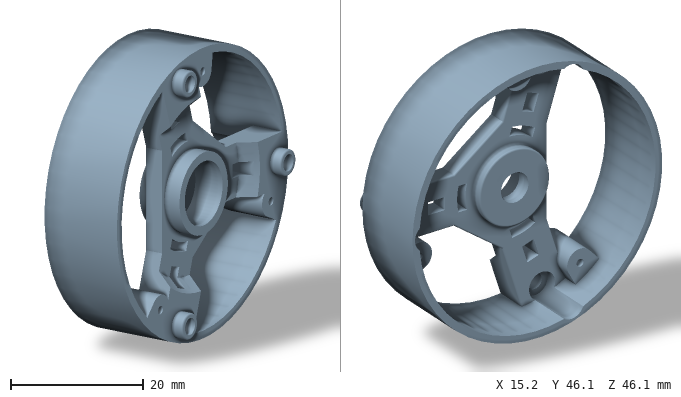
import cadquery as cq
import math

RING_RADIUS = 23.05
RING_INNER_RADIUS = 21.8
RING_MID_RADIUS = (RING_RADIUS + RING_INNER_RADIUS) / 2
RING_LENGTH = 13.28
OVERALL_LENGTH = 15.2

ARM_ANGLES = (0, 108, -108)
ARM_FRONT = 7.7
ARM_HALF_WIDTH = 4.35
ARM_ROOT = 9.95
ARM_EDGE_FILLET = 0.28
PLATE_BACK = 10.75
RAMP_START = 13.4
RAMP_END = 15.4

WINDOW_INNER = 11.7
WINDOW_OUTER = 14.8
WINDOW_WIDTH = 2.2
ARC_SLOT_INNER_RADIUS = 7.95
ARC_SLOT_OUTER_RADIUS = 9.45
ARC_SLOT_WIDTH = 4.45

SCREW_CIRCLE_RADIUS = 20.2
SCREW_HOLE_RADIUS = 1.35
SEAT_RADIUS = 2.4
SEAT_FLOOR = 9.7
BOSS_RADIUS = 2.07
BOSS_TIP_FILLET = 0.28

LUG_OFFSET_ANGLE = -18
LUG_CIRCLE_RADIUS = 19.3
LUG_RADIUS = 2.4
LUG_HOLE_RADIUS = 0.65
LUG_FRONT = 5.0

HUB_FRONT = 6.0
HUB_FRONT_RADIUS = 6.45
HUB_RIM_FILLET = 0.28
HUB_FOOT_FILLET = 0.3
HUB_BACK = 13.45
HUB_BACK_RADIUS = 6.5
BORE_RADIUS = 2.55
BORE_STEP = 8.5
CUP_RADIUS = 5.05


def plane_at(x):
    """Workplane across the axis at the given X, with local axes along Y and Z."""
    return cq.Workplane("YZ", origin=(x, 0, 0))


def disc(radius, start, end, distance=0.0):
    """Cylinder along X, its centre offset along Y."""
    return plane_at(start).center(distance, 0).circle(radius).extrude(end - start)


def turned(shape, angle):
    return shape.rotate((0, 0, 0), (1, 0, 0), angle)


def polar_turn(point, angle):
    y, z = point
    a = math.radians(angle)
    return (y * math.cos(a) - z * math.sin(a), y * math.sin(a) + z * math.cos(a))


def spider():
    """Central plate with three arms, rounded along its front edge and trimmed to the ring."""
    arm_outline = [
        (ARM_ROOT, -ARM_HALF_WIDTH),
        (RING_RADIUS, -ARM_HALF_WIDTH),
        (RING_RADIUS, ARM_HALF_WIDTH),
        (ARM_ROOT, ARM_HALF_WIDTH),
    ]
    outline = [polar_turn(p, angle) for angle in ARM_ANGLES for p in arm_outline]
    body = plane_at(ARM_FRONT).polyline(outline).close().extrude(RING_LENGTH - ARM_FRONT)
    body = body.faces("<X").edges().fillet(ARM_EDGE_FILLET)
    body = body.cut(rear_relief())
    return body.intersect(disc(RING_MID_RADIUS, 0, RING_LENGTH))


def rear_relief():
    """Space behind the plate and the thin part of the arms, with a conical outer wall."""
    return (
        cq.Workplane("XY")
        .moveTo(PLATE_BACK, 0)
        .lineTo(PLATE_BACK, RAMP_START)
        .lineTo(RING_LENGTH, RAMP_END)
        .lineTo(RING_LENGTH, 0)
        .close()
        .revolve(360, (0, 0, 0), (1, 0, 0))
    )


def ring():
    return disc(RING_RADIUS, 0, RING_LENGTH).cut(disc(RING_INNER_RADIUS, 0, RING_LENGTH))


def lug():
    """Rounded lug whose flanks run along radial lines tangent to its round end."""
    half_angle = math.asin(LUG_RADIUS / LUG_CIRCLE_RADIUS)
    tangent_length = LUG_CIRCLE_RADIUS * math.cos(half_angle)

    def flank_point(distance, side):
        return (distance * math.cos(half_angle), side * distance * math.sin(half_angle))

    return (
        plane_at(LUG_FRONT)
        .moveTo(*flank_point(RING_MID_RADIUS, -1))
        .lineTo(*flank_point(tangent_length, -1))
        .threePointArc((LUG_CIRCLE_RADIUS - LUG_RADIUS, 0), flank_point(tangent_length, 1))
        .lineTo(*flank_point(RING_MID_RADIUS, 1))
        .threePointArc((RING_MID_RADIUS, 0), flank_point(RING_MID_RADIUS, -1))
        .close()
        .extrude(RING_LENGTH - LUG_FRONT)
    )


def boss():
    body = disc(BOSS_RADIUS, SEAT_FLOOR, OVERALL_LENGTH, SCREW_CIRCLE_RADIUS)
    return body.faces(">X").edges().fillet(BOSS_TIP_FILLET)


def arm_openings():
    """Window and curved slot of one arm, running right through it."""
    depth = OVERALL_LENGTH - ARM_FRONT
    window_length = WINDOW_OUTER - WINDOW_INNER
    window = (
        plane_at(ARM_FRONT)
        .center(WINDOW_INNER + window_length / 2, 0)
        .rect(window_length, WINDOW_WIDTH)
        .extrude(depth)
    )
    band = (
        plane_at(ARM_FRONT)
        .circle(ARC_SLOT_OUTER_RADIUS)
        .circle(ARC_SLOT_INNER_RADIUS)
        .extrude(depth)
    )
    strip = (
        plane_at(ARM_FRONT)
        .center(ARC_SLOT_OUTER_RADIUS / 2, 0)
        .rect(ARC_SLOT_OUTER_RADIUS, ARC_SLOT_WIDTH)
        .extrude(depth)
    )
    return window.union(band.intersect(strip))


def hub():
    """Raised front disc with a rounded rim and a filleted foot, and the rear disc behind it."""
    foot_radius = HUB_FRONT_RADIUS + HUB_FOOT_FILLET
    front = (
        cq.Workplane("XY")
        .moveTo(HUB_FRONT, 0)
        .lineTo(HUB_FRONT, HUB_FRONT_RADIUS - HUB_RIM_FILLET)
        .radiusArc((HUB_FRONT + HUB_RIM_FILLET, HUB_FRONT_RADIUS), HUB_RIM_FILLET)
        .lineTo(ARM_FRONT - HUB_FOOT_FILLET, HUB_FRONT_RADIUS)
        .radiusArc((ARM_FRONT, foot_radius), -HUB_FOOT_FILLET)
        .lineTo(PLATE_BACK, foot_radius)
        .lineTo(PLATE_BACK, 0)
        .close()
        .revolve(360, (0, 0, 0), (1, 0, 0))
    )
    back = disc(HUB_BACK_RADIUS, ARM_FRONT, HUB_BACK)
    return front.union(back)


body = ring().union(spider()).union(hub())
for angle in ARM_ANGLES:
    body = body.union(turned(lug(), angle + LUG_OFFSET_ANGLE))
    body = body.union(turned(boss(), angle))

for angle in ARM_ANGLES:
    seat = disc(SEAT_RADIUS, 0, SEAT_FLOOR, SCREW_CIRCLE_RADIUS)
    screw_hole = disc(SCREW_HOLE_RADIUS, 0, OVERALL_LENGTH, SCREW_CIRCLE_RADIUS)
    lug_hole = disc(LUG_HOLE_RADIUS, 0, RING_LENGTH, LUG_CIRCLE_RADIUS)
    body = body.cut(turned(seat, angle))
    body = body.cut(turned(screw_hole, angle))
    body = body.cut(turned(arm_openings(), angle))
    body = body.cut(turned(lug_hole, angle + LUG_OFFSET_ANGLE))

bore = disc(BORE_RADIUS, 0, OVERALL_LENGTH)
cup = disc(CUP_RADIUS, BORE_STEP, HUB_BACK)
result = body.cut(bore).cut(cup)